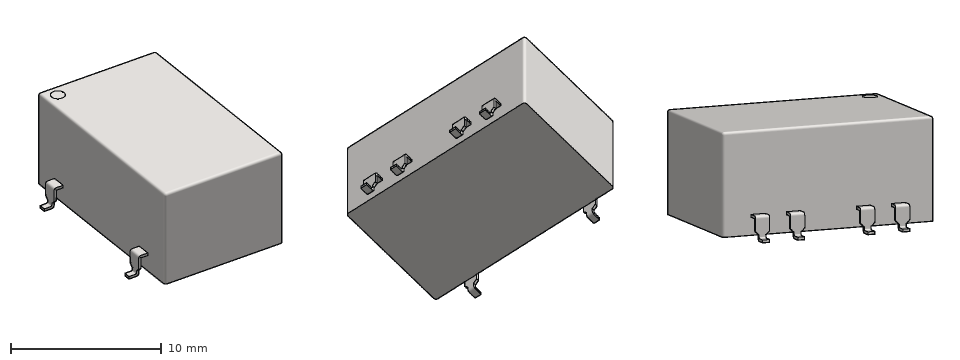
import cadquery as cq

case_length = 15.3
case_width = 9.45
overall_height = 7.4
standoff = 0.3
case_edge_radius = 0.2

mark_diameter = 1.0
mark_depth = 0.08
mark_inset = 0.98

overall_width = 12.12
lead_thickness = 0.2
lead_width = 1.03
foot_width = 0.5
lead_top = 1.73
shoulder_reach = 0.73
shoulder_bend_radius = 0.2
foot_bend_inner_radius = 0.09
foot_bend_outer_radius = 0.21
taper_top = 0.69
lead_pitch = 2.54
front_lead_positions = (-2 * lead_pitch, 2 * lead_pitch)
back_lead_positions = (-2 * lead_pitch, -lead_pitch, lead_pitch, 2 * lead_pitch)

case_height = overall_height - standoff
mark_x = mark_inset - case_length / 2
mark_y = mark_inset - case_width / 2
lead_reach = (overall_width - case_width) / 2
taper_bottom = taper_top - (lead_width - foot_width) / 2


def make_mark():
    """Disc whose upper face is flush with the top of the case."""
    return (
        cq.Workplane("XY", origin=(mark_x, mark_y, overall_height - mark_depth))
        .circle(mark_diameter / 2)
        .extrude(mark_depth)
    )


def make_case(mark):
    """Block with rounded top and upright edges and a recess for the mark."""
    block = (
        cq.Workplane("XY", origin=(0, 0, standoff))
        .rect(case_length, case_width)
        .extrude(case_height)
    )
    rounded = block.edges("|Z or >Z").fillet(case_edge_radius)
    return rounded.cut(mark)


def lead_profile():
    """Side outline of a lead, u measured outward from the case side and v upward."""
    outer_face = shoulder_reach
    inner_face = shoulder_reach - lead_thickness
    inner_radius = foot_bend_inner_radius
    outer_radius = foot_bend_outer_radius
    underside = lead_top - lead_thickness
    return (
        cq.Workplane("YZ")
        .moveTo(0, lead_top)
        .lineTo(outer_face - shoulder_bend_radius, lead_top)
        .radiusArc((outer_face, lead_top - shoulder_bend_radius), shoulder_bend_radius)
        .lineTo(outer_face, lead_thickness + inner_radius)
        .radiusArc((outer_face + inner_radius, lead_thickness), -inner_radius)
        .lineTo(lead_reach, lead_thickness)
        .lineTo(lead_reach, 0)
        .lineTo(inner_face + outer_radius, 0)
        .radiusArc((inner_face, outer_radius), outer_radius)
        .lineTo(inner_face, underside)
        .lineTo(0, underside)
        .close()
    )


def lead_front_outline():
    """Face-on outline of a lead: wide upright tapering to a narrow foot."""
    half_wide = lead_width / 2
    half_narrow = foot_width / 2
    return cq.Workplane("XZ").polyline([
        (-half_wide, lead_top),
        (half_wide, lead_top),
        (half_wide, taper_top),
        (half_narrow, taper_bottom),
        (half_narrow, 0),
        (-half_narrow, 0),
        (-half_narrow, taper_bottom),
        (-half_wide, taper_top),
    ]).close()


def make_back_lead():
    """Lead at the origin, reaching toward +Y from the plane of the case side."""
    bent_strip = lead_profile().extrude(lead_width / 2, both=True)
    outline_block = lead_front_outline().extrude(-lead_reach)
    return bent_strip.intersect(outline_block)


mark = make_mark()
case = make_case(mark)

back_lead = make_back_lead().translate((0, case_width / 2, 0))
front_lead = back_lead.rotate((0, 0, 0), (0, 0, 1), 180)
leads = []
for x in back_lead_positions:
    leads.append(back_lead.translate((x, 0, 0)).val())
for x in front_lead_positions:
    leads.append(front_lead.translate((x, 0, 0)).val())

result = cq.Compound.makeCompound([case.val(), mark.val(), *leads])